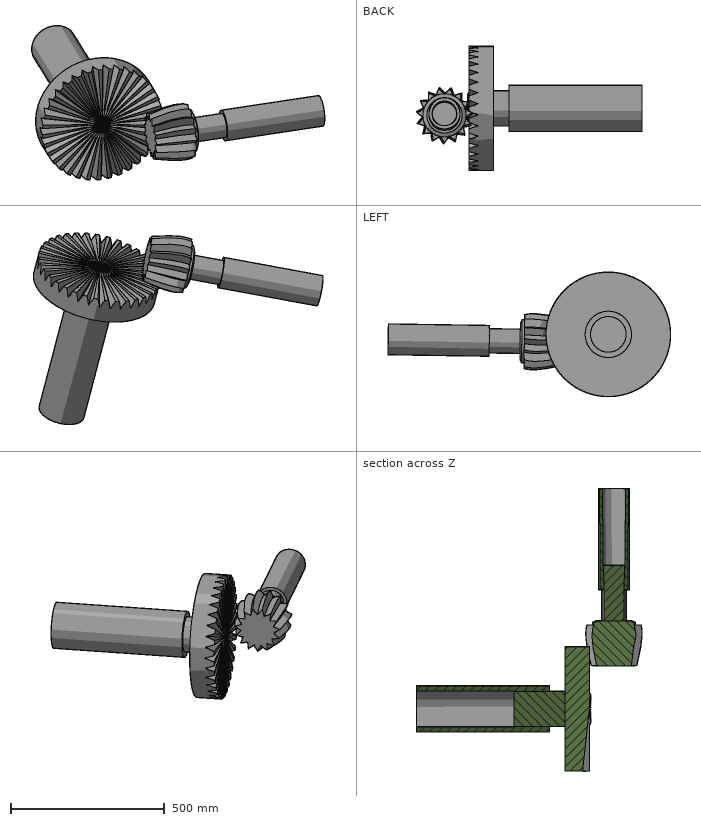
import cadquery as cq
import math


WHEEL_DIAMETER = 406.0
WHEEL_THICKNESS = 81.0
WHEEL_TOOTH_COUNT = 35
WHEEL_GROOVE_DEPTH = 29.5
WHEEL_GROOVE_WIDTH = 23.0
WHEEL_GROOVE_PHASE = 0.8
GROOVE_OVERRUN = 1.1
BOSS_BASE_DIAMETER = 105.0
BOSS_RIM_DIAMETER = 87.0
DISH_FLOOR_DIAMETER = 51.0
BOSS_HEIGHT = 5.0

WHEEL_SHAFT_DIAMETER = 116.0
WHEEL_SHAFT_BARE_LENGTH = 50.0
WHEEL_SLEEVE_DIAMETER = 151.0
WHEEL_SLEEVE_LENGTH = 434.0

PINION_AXIS_X = 160.0
PINION_FRONT_Y = 140.0
PINION_FRONT_Z = -25.0
PINION_TILT = 0.85

PINION_TOOTH_COUNT = 15
PINION_TOOTH_HEIGHT = 19.0
PINION_LENGTH = 133.5
PINION_BULGE_AT = 83.0
PINION_FRONT_DIAMETER = 149.0
PINION_BULGE_DIAMETER = 182.0
PINION_BACK_DIAMETER = 178.0
PINION_END_ANGLE = 12.2
PINION_BULGE_ANGLE = 9.5
FRONT_FLAT_DIAMETER = 124.0
TOOTH_END_DROP = 1.4

COLLAR_DIAMETER = 141.0
COLLAR_LENGTH = 14.0
COLLAR_CHAMFER_LENGTH = 5.5
COLLAR_CHAMFER_WIDTH = 13.0

PINION_SHAFT_DIAMETER = 80.0
PINION_SHAFT_BARE_LENGTH = 100.0
PINION_SLEEVE_DIAMETER = 101.0
PINION_SLEEVE_LENGTH = 330.0

WHEEL_RADIUS = WHEEL_DIAMETER / 2
TILT = math.radians(PINION_TILT)
PINION_PLANE = cq.Plane(
    origin=(PINION_AXIS_X, PINION_FRONT_Y, PINION_FRONT_Z),
    xDir=(0, -math.sin(TILT), math.cos(TILT)),
    normal=(0, math.cos(TILT), math.sin(TILT)),
)
WHEEL_PLANE = cq.Plane(origin=(0, 0, 0), xDir=(0, 1, 0), normal=(1, 0, 0))


def make_cone(plane, start, length, start_diameter, end_diameter):
    """Cone or frustum along the normal of a plane, beginning at a distance from it."""
    base = plane.origin + plane.zDir * start
    return cq.Workplane(
        cq.Solid.makeCone(start_diameter / 2, end_diameter / 2, length, pnt=base, dir=plane.zDir)
    )


def make_rod(plane, start, length, diameter):
    """Cylinder along the normal of a plane, beginning at a distance from it."""
    return cq.Workplane(plane).workplane(offset=start).circle(diameter / 2).extrude(length)


def make_sleeve(plane, start, length, diameter, bore):
    """Tube open at both ends."""
    return make_rod(plane, start, length, diameter).cut(make_rod(plane, start, length, bore))


def make_groove_cutter():
    """Pyramid pointing at the centre of the wheel face, tapering to it from beyond the rim."""
    reach = WHEEL_RADIUS * GROOVE_OVERRUN
    depth = WHEEL_GROOVE_DEPTH * GROOVE_OVERRUN
    half_width = WHEEL_GROOVE_WIDTH * GROOVE_OVERRUN
    apex = cq.Vector(WHEEL_THICKNESS, 0, 0)
    bottom = cq.Vector(WHEEL_THICKNESS - depth, -reach, 0)
    left = cq.Vector(WHEEL_THICKNESS + depth, -reach, -half_width)
    right = cq.Vector(WHEEL_THICKNESS + depth, -reach, half_width)
    triangles = [
        (bottom, left, right),
        (apex, left, bottom),
        (apex, bottom, right),
        (apex, right, left),
    ]
    faces = [cq.Face.makeFromWires(cq.Wire.makePolygon(corners, close=True)) for corners in triangles]
    return cq.Solid.makeSolid(cq.Shell.makeShell(faces))


def make_wheel():
    boss = make_cone(WHEEL_PLANE, WHEEL_THICKNESS, BOSS_HEIGHT, BOSS_BASE_DIAMETER, BOSS_RIM_DIAMETER)
    dish = make_cone(WHEEL_PLANE, WHEEL_THICKNESS, BOSS_HEIGHT, DISH_FLOOR_DIAMETER, BOSS_RIM_DIAMETER)
    wheel = make_rod(WHEEL_PLANE, 0, WHEEL_THICKNESS, WHEEL_DIAMETER).union(boss).cut(dish)
    cutter = make_groove_cutter()
    for index in range(WHEEL_TOOTH_COUNT):
        angle = WHEEL_GROOVE_PHASE + index * 360 / WHEEL_TOOTH_COUNT
        wheel = wheel.cut(cq.Workplane(cutter).rotate((0, 0, 0), (1, 0, 0), -angle))
    return wheel


def tooth_outline(tip_radius, tip_angle):
    """Star of pointed teeth: tips on the outer radius, roots midway between them."""
    points = []
    for index in range(2 * PINION_TOOTH_COUNT):
        angle = math.radians(tip_angle + index * 180 / PINION_TOOTH_COUNT)
        radius = tip_radius - PINION_TOOTH_HEIGHT * (index % 2)
        points.append((radius * math.cos(angle), radius * math.sin(angle)))
    return points


def make_pinion():
    toothed = (
        cq.Workplane(PINION_PLANE)
        .polyline(tooth_outline(PINION_FRONT_DIAMETER / 2, PINION_END_ANGLE))
        .close()
        .workplane(offset=PINION_BULGE_AT)
        .polyline(tooth_outline(PINION_BULGE_DIAMETER / 2, PINION_BULGE_ANGLE))
        .close()
        .workplane(offset=PINION_LENGTH - PINION_BULGE_AT)
        .polyline(tooth_outline(PINION_BACK_DIAMETER / 2, PINION_END_ANGLE))
        .close()
        .loft()
    )
    slope = TOOTH_END_DROP / (PINION_FRONT_DIAMETER - FRONT_FLAT_DIAMETER)
    end_depth = slope * (PINION_BULGE_DIAMETER - FRONT_FLAT_DIAMETER)
    end_cone = make_cone(PINION_PLANE, 0, end_depth, FRONT_FLAT_DIAMETER, PINION_BULGE_DIAMETER)
    end_waste = make_rod(PINION_PLANE, 0, end_depth, PINION_BULGE_DIAMETER).cut(end_cone)
    collar_straight = COLLAR_LENGTH - COLLAR_CHAMFER_LENGTH
    collar = make_rod(PINION_PLANE, PINION_LENGTH, collar_straight, COLLAR_DIAMETER)
    collar_chamfer = make_cone(
        PINION_PLANE,
        PINION_LENGTH + collar_straight,
        COLLAR_CHAMFER_LENGTH,
        COLLAR_DIAMETER,
        COLLAR_DIAMETER - 2 * COLLAR_CHAMFER_WIDTH,
    )
    return toothed.cut(end_waste).union(collar).union(collar_chamfer)


wheel = make_wheel()
wheel_shaft_length = WHEEL_SHAFT_BARE_LENGTH + WHEEL_SHAFT_DIAMETER
wheel_shaft = make_rod(WHEEL_PLANE, 0, -wheel_shaft_length, WHEEL_SHAFT_DIAMETER)
wheel_sleeve = make_sleeve(
    WHEEL_PLANE, -WHEEL_SHAFT_BARE_LENGTH, -WHEEL_SLEEVE_LENGTH, WHEEL_SLEEVE_DIAMETER, WHEEL_SHAFT_DIAMETER
)

pinion = make_pinion()
pinion_back = PINION_LENGTH + COLLAR_LENGTH
pinion_shaft_length = PINION_SHAFT_BARE_LENGTH + PINION_SHAFT_DIAMETER
pinion_shaft = make_rod(PINION_PLANE, pinion_back, pinion_shaft_length, PINION_SHAFT_DIAMETER)
pinion_sleeve = make_sleeve(
    PINION_PLANE,
    pinion_back + PINION_SHAFT_BARE_LENGTH,
    PINION_SLEEVE_LENGTH,
    PINION_SLEEVE_DIAMETER,
    PINION_SHAFT_DIAMETER,
)

bodies = [wheel, wheel_shaft, wheel_sleeve, pinion, pinion_shaft, pinion_sleeve]
result = cq.Compound.makeCompound([body.solids().val() for body in bodies])